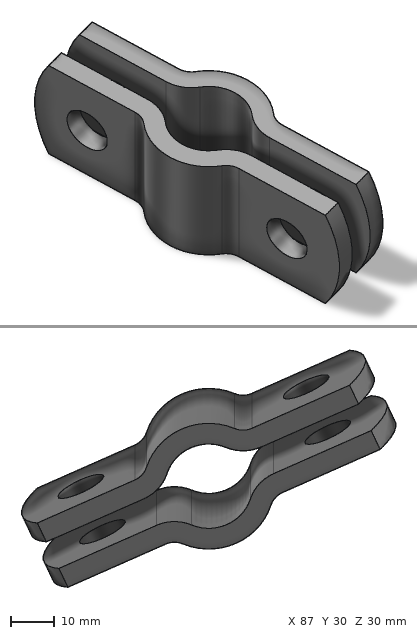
import cadquery as cq
import math

length = 87.0
height = 30.0
saddle_diameter = 30.0
thickness = 5.0
gap = 7.0
bend_radius = 5.0
end_radius = 30.0
hole_diameter = 11.5
hole_spacing = 57.0

outer_radius = saddle_diameter / 2
inner_radius = outer_radius - thickness
flat_inner_y = gap / 2
flat_outer_y = flat_inner_y + thickness
bend_center_y = flat_outer_y + bend_radius
bend_center_distance = outer_radius + bend_radius
bend_center_x = math.sqrt(bend_center_distance**2 - bend_center_y**2)
saddle_angle = math.atan2(bend_center_y, bend_center_x)
bend_mid_angle = (saddle_angle + math.pi + 1.5 * math.pi) / 2


def saddle_point(radius):
    """Point where the right-hand bend meets the saddle."""
    return radius * math.cos(saddle_angle), radius * math.sin(saddle_angle)


def bend_mid_point(radius):
    """Middle of the right-hand bend arc of the given radius."""
    return (
        bend_center_x + radius * math.cos(bend_mid_angle),
        bend_center_y + radius * math.sin(bend_mid_angle),
    )


def mirrored(point):
    return -point[0], point[1]


def make_bent_strip():
    """Constant-thickness strip with square ends, saddle toward +Y."""
    half_length = length / 2
    outer_joint = saddle_point(outer_radius)
    inner_joint = saddle_point(inner_radius)
    outer_bend = bend_mid_point(bend_radius)
    inner_bend = bend_mid_point(bend_radius + thickness)
    return (
        cq.Workplane("XY")
        .workplane(offset=-height / 2)
        .moveTo(half_length, flat_outer_y)
        .lineTo(bend_center_x, flat_outer_y)
        .threePointArc(outer_bend, outer_joint)
        .threePointArc((0, outer_radius), mirrored(outer_joint))
        .threePointArc(mirrored(outer_bend), (-bend_center_x, flat_outer_y))
        .lineTo(-half_length, flat_outer_y)
        .lineTo(-half_length, flat_inner_y)
        .lineTo(-bend_center_x, flat_inner_y)
        .threePointArc(mirrored(inner_bend), mirrored(inner_joint))
        .threePointArc((0, inner_radius), inner_joint)
        .threePointArc(inner_bend, (bend_center_x, flat_inner_y))
        .lineTo(half_length, flat_inner_y)
        .close()
        .extrude(height)
    )


def make_rounded_end_envelope():
    """Block through Y whose two ends are arcs, used to round the strip ends."""
    half_length = length / 2
    half_height = height / 2
    end_sag = end_radius - math.sqrt(end_radius**2 - half_height**2)
    corner_x = half_length - end_sag
    return (
        cq.Workplane("XZ")
        .moveTo(-corner_x, -half_height)
        .lineTo(corner_x, -half_height)
        .threePointArc((half_length, 0), (corner_x, half_height))
        .lineTo(-corner_x, half_height)
        .threePointArc((-half_length, 0), (-corner_x, -half_height))
        .close()
        .extrude(saddle_diameter, both=True)
    )


def make_bolt_holes():
    """Cylinders through Y for the two bolt holes."""
    return (
        cq.Workplane("XZ")
        .pushPoints([(-hole_spacing / 2, 0), (hole_spacing / 2, 0)])
        .circle(hole_diameter / 2)
        .extrude(saddle_diameter, both=True)
    )


def make_clamp_half(turn):
    """One clamp half, turned about Z by the given angle in degrees."""
    half = make_bent_strip().intersect(make_rounded_end_envelope()).cut(make_bolt_holes())
    return half.rotate((0, 0, 0), (0, 0, 1), turn).solids()


clamp_halves = [make_clamp_half(turn) for turn in (0, 180)]

result = cq.Compound.makeCompound([half.val() for half in clamp_halves])